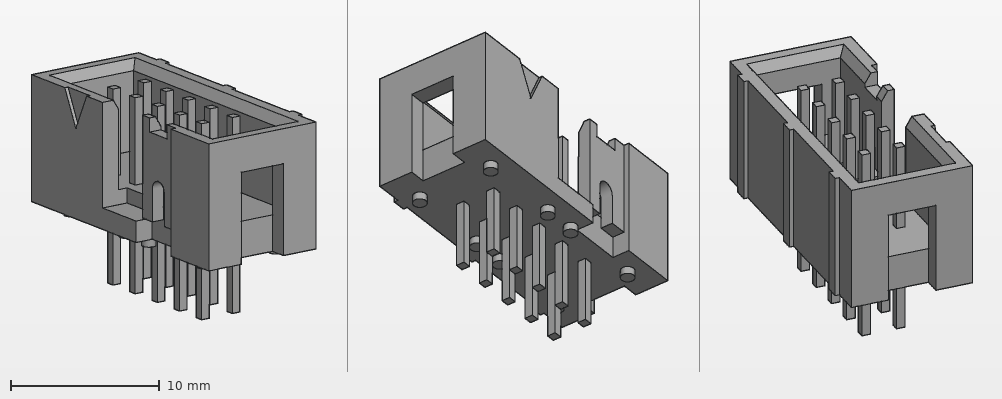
import cadquery as cq

LENGTH = 20.3
DEPTH = 8.9
HEIGHT = 8.9
FLOOR_TOP = 2.55
END_WALL = 1.25
LONG_WALL = 1.34
FRONT = -DEPTH / 2
BACK = DEPTH / 2
INNER_LENGTH = LENGTH - 2 * END_WALL
INNER_DEPTH = DEPTH - 2 * LONG_WALL

LEAD_IN_WIDTH = 0.45
LEAD_IN_HEIGHT = 0.73

WINDOW_WIDTH = 3.5
WINDOW_TOP = 6.44

KEY_WIDTH = 4.02
KEY_DEPTH = 2.03
KEY_BOTTOM = 1.5

PANEL_LEFT = KEY_WIDTH / 2
PANEL_RIGHT = 5.8
PANEL_BOTTOM = 1.68
PANEL_SETBACK = 0.4
UNDERCUT_LEFT = 1.83
SLOT_CENTER = 3.82
NOTCH_WIDTH = 1.99
NOTCH_DEPTH = 1.0
SLOT_WIDTH = 1.38
SLOT_TOP = 4.67

PITCH = 2.54
PINS_PER_ROW = 5
PIN_WIDTH = 0.63
PIN_TOP = 8.67
PIN_BOTTOM = -5.05

ARROW_WIDTH = 2.5
ARROW_HEIGHT = 2.55
ARROW_DEPTH = 0.26

RIB_COUNT = 3
RIB_SPACING = 3 * PITCH
RIB_WIDTH = 1.04
RIB_DEPTH = 0.3
FOOT_DIAMETER = 1.0
FOOT_HEIGHT = 0.57
FOOT_OUTER_X = RIB_SPACING
FOOT_INNER_X = PITCH / 2
FOOT_Y = 2.98


def block(x0, x1, y0, y1, z0, z1):
    """Box between two opposite corners."""
    return cq.Workplane("XY").box(x1 - x0, y1 - y0, z1 - z0, centered=False).translate((x0, y0, z0))


def cavity():
    """Inside of the housing, flared at the mouth."""
    well = block(-INNER_LENGTH / 2, INNER_LENGTH / 2, -INNER_DEPTH / 2, INNER_DEPTH / 2, FLOOR_TOP, HEIGHT)
    mouth = (
        cq.Workplane("XY", origin=(0, 0, HEIGHT - LEAD_IN_HEIGHT))
        .rect(INNER_LENGTH, INNER_DEPTH)
        .workplane(offset=LEAD_IN_HEIGHT)
        .rect(INNER_LENGTH + 2 * LEAD_IN_WIDTH, INNER_DEPTH + 2 * LEAD_IN_WIDTH)
        .loft()
    )
    return well.union(mouth)


def end_windows():
    """Openings through both end walls, running down to the underside."""
    half_width = WINDOW_WIDTH / 2
    left = block(-LENGTH / 2, -INNER_LENGTH / 2, -half_width, half_width, 0, WINDOW_TOP)
    return left.union(left.mirror("YZ"))


def key_opening():
    """Polarising gap in the front wall, sunk into the floor."""
    return block(-KEY_WIDTH / 2, KEY_WIDTH / 2, FRONT, FRONT + KEY_DEPTH, KEY_BOTTOM, HEIGHT)


def panel_relief():
    """Cuts that shape the latch panel: setback, undercut, top notch and arched slot."""
    wall_inside = FRONT + LONG_WALL
    setback = block(PANEL_LEFT, PANEL_RIGHT, FRONT, FRONT + PANEL_SETBACK, 0, HEIGHT)
    undercut = block(UNDERCUT_LEFT, PANEL_RIGHT, FRONT, wall_inside, 0, PANEL_BOTTOM)
    notch = block(
        SLOT_CENTER - NOTCH_WIDTH / 2, SLOT_CENTER + NOTCH_WIDTH / 2,
        FRONT, wall_inside, HEIGHT - NOTCH_DEPTH, HEIGHT,
    )
    radius = SLOT_WIDTH / 2
    slot = (
        cq.Workplane("XZ", origin=(SLOT_CENTER, FRONT, 0))
        .moveTo(-radius, 0)
        .lineTo(-radius, SLOT_TOP - radius)
        .threePointArc((0, SLOT_TOP), (radius, SLOT_TOP - radius))
        .lineTo(radius, 0)
        .close()
        .extrude(-LONG_WALL)
    )
    return setback.union(undercut).union(notch).union(slot)


def arrow():
    """Triangular recess pointing at the first pin."""
    first_pin_x = -PITCH * (PINS_PER_ROW - 1) / 2
    return (
        cq.Workplane("XZ", origin=(first_pin_x, FRONT, HEIGHT))
        .polyline([(-ARROW_WIDTH / 2, 0), (ARROW_WIDTH / 2, 0), (0, -ARROW_HEIGHT)])
        .close()
        .extrude(-ARROW_DEPTH)
    )


def back_ribs():
    """Full-height ribs on the back wall."""
    return (
        cq.Workplane("XY", origin=(0, BACK + RIB_DEPTH / 2, 0))
        .rarray(RIB_SPACING, 0.2, RIB_COUNT, 1)
        .rect(RIB_WIDTH, RIB_DEPTH)
        .extrude(HEIGHT)
    )


def feet():
    """Round standoff feet in a front row and a back row."""
    columns = (-FOOT_OUTER_X, -FOOT_INNER_X, FOOT_INNER_X, FOOT_OUTER_X)
    places = [(x, y) for x in columns for y in (-FOOT_Y, FOOT_Y)]
    return cq.Workplane("XY").pushPoints(places).circle(FOOT_DIAMETER / 2).extrude(-FOOT_HEIGHT)


def pins():
    """Two rows of square pins through the floor."""
    return (
        cq.Workplane("XY", origin=(0, 0, PIN_BOTTOM))
        .rarray(PITCH, PITCH, PINS_PER_ROW, 2)
        .rect(PIN_WIDTH, PIN_WIDTH)
        .extrude(PIN_TOP - PIN_BOTTOM)
    )


housing = block(-LENGTH / 2, LENGTH / 2, FRONT, BACK, 0, HEIGHT).union(back_ribs())
for cut in (cavity(), end_windows(), key_opening(), panel_relief(), arrow()):
    housing = housing.cut(cut)

result = housing
for stud in (feet(), pins()):
    result = result.union(stud)